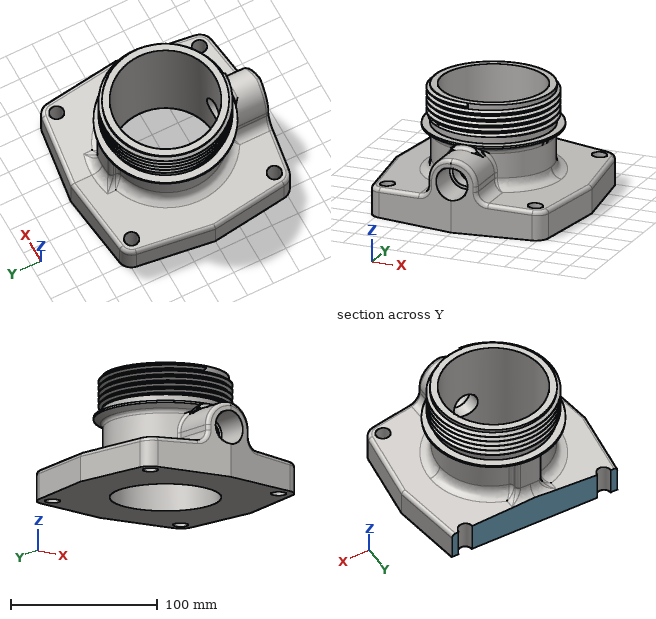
import cadquery as cq
import math

TOLERANCE = 0.1

PLATE_REACH = 73.025
SIDE_LEAN = 7.6
CORNER_RADIUS = 10.0
RIDGE_HEIGHT = 24.5
ROOF_SLOPE = 3.0
RIM_FILLET = 3.0
BOLT_OFFSET = 55.0
BOLT_DIAMETER = 10.4
EAVES_HEIGHT = RIDGE_HEIGHT - PLATE_REACH * math.tan(math.radians(ROOF_SLOPE))
CORNER_OFFSET = PLATE_REACH / (1 + math.tan(math.radians(SIDE_LEAN)))

TOTAL_HEIGHT = 84.12
BORE_RADIUS = 38.1
BODY_RADIUS = 42.9
FOOT_FILLET = 7.9
FOOT_REACH = 60.0

COLLAR_RADIUS = 49.2
COLLAR_TOP = 55.9
COLLAR_RIM = 1.4
COLLAR_SLOPE = 30.0
COLLAR_FILLET = 3.5

ROOT_RADIUS = 43.4
CREST_RADIUS = 45.9
THREAD_PITCH = 25.4 / 6
THREAD_TURNS = 5
THREAD_BOTTOM = 61.5
THREAD_START = 61.2
THREAD_BASE_WIDTH = 3.6
THREAD_CREST_WIDTH = 0.5
THREAD_EMBED = 0.4

PORT_HEIGHT = 35.0
PORT_RADIUS = 18.0
PORT_BORE_RADIUS = 9.5
COUNTERBORE_RADIUS = 11.7
COUNTERBORE_DEPTH = 25.0
JUNCTION_FILLET = 2.5

COVE_RADIUS = COLLAR_TOP - PORT_HEIGHT - PORT_RADIUS
COVE_FRONT_HALF_WIDTH = 6.4
COVE_BACK_HALF_WIDTH = 12.6
COVE_BACK = 47.0
COVE_SIDE_FOOT = PORT_HEIGHT + math.sqrt(PORT_RADIUS**2 - COVE_BACK_HALF_WIDTH**2)
COVE_ROOT = 43.5

PAD_RADIUS = 49.0
PAD_HALF_WIDTH = 10.0
PAD_FILLET = 3.0


def edges_where(solid, condition):
    return solid.newObject([edge for edge in solid.edges().vals() if condition(edge)])


def axis_distances(edge):
    """Distances from the Z axis of points spread along an edge."""
    points = [edge.positionAt(fraction) for fraction in (0, 0.25, 0.5, 0.75, 1)]
    return [math.hypot(point.x, point.y) for point in points]


def on_plate_top(edge):
    box = edge.BoundingBox()
    return box.zmin > EAVES_HEIGHT - TOLERANCE and box.zmax < RIDGE_HEIGHT + TOLERANCE


def runs_along_y(edge):
    box = edge.BoundingBox()
    return box.xlen < TOLERANCE and box.ylen > PORT_RADIUS


def upright_cylinder(radius, height):
    return cq.Workplane("XY").circle(radius).extrude(height)


def half_space_block(length, width):
    """Block of full height that starts at X = 0 and is centred on Y = 0."""
    return cq.Workplane("XY").box(length, width, TOTAL_HEIGHT, centered=(False, True, False))


def plate_outline():
    quarter = [(PLATE_REACH, 0), (CORNER_OFFSET, CORNER_OFFSET)]
    points = []
    for turn in range(4):
        for x, y in quarter:
            points.append((x, y))
        quarter = [(-y, x) for x, y in quarter]
    block = cq.Workplane("XY").polyline(points).close().extrude(TOTAL_HEIGHT)

    def at_corner(edge):
        middle = edge.Center()
        beside_x = abs(abs(middle.x) - CORNER_OFFSET) < TOLERANCE
        beside_y = abs(abs(middle.y) - CORNER_OFFSET) < TOLERANCE
        return beside_x and beside_y

    return edges_where(block.edges("|Z"), at_corner).fillet(CORNER_RADIUS)


def roof_prism():
    return (
        cq.Workplane("XZ", origin=(0, PLATE_REACH, 0))
        .moveTo(-PLATE_REACH, 0)
        .lineTo(PLATE_REACH, 0)
        .lineTo(PLATE_REACH, EAVES_HEIGHT)
        .lineTo(0, RIDGE_HEIGHT)
        .lineTo(-PLATE_REACH, EAVES_HEIGHT)
        .close()
        .extrude(2 * PLATE_REACH)
    )


def port_prism():
    return (
        cq.Workplane("XZ")
        .moveTo(-PORT_RADIUS, 0)
        .lineTo(PORT_RADIUS, 0)
        .lineTo(PORT_RADIUS, PORT_HEIGHT)
        .threePointArc((0, PORT_HEIGHT + PORT_RADIUS), (-PORT_RADIUS, PORT_HEIGHT))
        .close()
        .extrude(PLATE_REACH)
    )


def plate_with_port():
    """Plate and port boss, blended together and rounded along the outer top edge."""
    shape = plate_outline().intersect(roof_prism().union(port_prism()))

    def at_boss_foot(edge):
        beside_boss = abs(abs(edge.Center().x) - PORT_RADIUS) < TOLERANCE
        return on_plate_top(edge) and runs_along_y(edge) and beside_boss

    def on_rim(edge):
        above_walls = edge.BoundingBox().zmin > EAVES_HEIGHT - TOLERANCE
        on_outline = min(axis_distances(edge)) > CORNER_OFFSET
        return above_walls and on_outline and not runs_along_y(edge)

    shape = edges_where(shape, at_boss_foot).fillet(FOOT_FILLET)
    return edges_where(shape, on_rim).fillet(RIM_FILLET)


def plain_plate():
    return plate_outline().intersect(roof_prism())


def body_with_foot():
    """Round body with its foot blended into the plate top."""
    shape = plain_plate().union(upright_cylinder(BODY_RADIUS, COLLAR_TOP))

    def at_foot(edge):
        return on_plate_top(edge) and max(axis_distances(edge)) < BODY_RADIUS + TOLERANCE

    shape = edges_where(shape, at_foot).fillet(FOOT_FILLET)
    return shape.intersect(upright_cylinder(FOOT_REACH, COLLAR_TOP))


def pad_with_foot():
    """Pad with a blended foot, made as one half and mirrored across the ridge."""
    strip = cq.Workplane("XY").rect(2 * PAD_HALF_WIDTH, 4 * PLATE_REACH).extrude(COLLAR_TOP)
    end = strip.intersect(upright_cylinder(PAD_RADIUS, COLLAR_TOP))
    tail = strip.translate((0, -2 * PLATE_REACH, 0))
    pad = end.union(tail).clean()
    half = plain_plate().union(pad).intersect(half_space_block(PLATE_REACH, 4 * PLATE_REACH))

    def at_foot(edge):
        middle = edge.Center()
        beside_pad = TOLERANCE < middle.x < PAD_HALF_WIDTH + TOLERANCE
        inside_plate = -PLATE_REACH / 2 < middle.y < PAD_RADIUS
        return on_plate_top(edge) and beside_pad and inside_plate

    def at_outer_corner(edge):
        box = edge.BoundingBox()
        at_side = abs(box.xmin - PAD_HALF_WIDTH) < TOLERANCE
        at_end = min(axis_distances(edge)) > PAD_RADIUS - TOLERANCE
        return at_side and at_end and box.zlen > TOLERANCE and box.ymin > 0

    half = edges_where(half, at_foot).fillet(FOOT_FILLET)
    half = edges_where(half, at_outer_corner).fillet(PAD_FILLET)
    kept = half_space_block(2 * PAD_HALF_WIDTH, 2 * FOOT_REACH)
    kept = kept.intersect(kept.translate((0, FOOT_REACH, 0)))
    half = half.intersect(kept)
    return half.union(half.mirror("YZ"))


def blend_boss_to_body(shape):
    def on_junction(edge):
        box = edge.BoundingBox()
        behind_port = -BODY_RADIUS - FOOT_FILLET < box.ymin and box.ymax < -BODY_RADIUS + PORT_RADIUS / 4
        distances = axis_distances(edge)
        near_body = max(distances) < BODY_RADIUS + FOOT_FILLET
        above_plate = box.zmin > EAVES_HEIGHT + TOLERANCE
        beside_boss = abs(edge.Center().x) < PORT_RADIUS + FOOT_FILLET
        return behind_port and near_body and above_plate and beside_boss

    return edges_where(shape, on_junction).fillet(JUNCTION_FILLET)


def blend_pad_to_body(shape):
    body_crossing = math.sqrt(BODY_RADIUS**2 - PAD_HALF_WIDTH**2)

    def on_junction(edge):
        box = edge.BoundingBox()
        starts_at_body = abs(box.ymin - body_crossing) < TOLERANCE
        rises = box.zlen > TOLERANCE
        return starts_at_body and rises

    return edges_where(shape, on_junction).fillet(PAD_FILLET)


def collar():
    lean = math.radians(COLLAR_SLOPE)
    rim_bottom = COLLAR_TOP - COLLAR_RIM
    cone_foot = rim_bottom - (COLLAR_RADIUS - BODY_RADIUS) * math.tan(lean)
    tangent = COLLAR_FILLET * math.tan((math.pi / 2 - lean) / 2)
    arc_x = BODY_RADIUS + COLLAR_FILLET
    arc_z = cone_foot - tangent
    middle_angle = (math.pi + math.pi / 2 + lean) / 2
    arc_middle = (
        arc_x + COLLAR_FILLET * math.cos(middle_angle),
        arc_z + COLLAR_FILLET * math.sin(middle_angle),
    )
    arc_end = (BODY_RADIUS + tangent * math.cos(lean), cone_foot + tangent * math.sin(lean))
    return (
        cq.Workplane("XZ")
        .moveTo(0, arc_z)
        .lineTo(BODY_RADIUS, arc_z)
        .threePointArc(arc_middle, arc_end)
        .lineTo(COLLAR_RADIUS, rim_bottom)
        .lineTo(COLLAR_RADIUS, COLLAR_TOP)
        .lineTo(0, COLLAR_TOP)
        .close()
        .revolve(360, (0, 0, 0), (0, 1, 0))
    )


def collar_cove():
    """Concave blend from the top of the boss up to the collar, narrowing toward the port."""
    front = COLLAR_RADIUS + COVE_RADIUS
    boss_top = PORT_HEIGHT + PORT_RADIUS
    arc_offset = COVE_RADIUS * math.sqrt(0.5)
    ring = (
        cq.Workplane("YZ")
        .moveTo(-COVE_ROOT, PORT_HEIGHT + PORT_BORE_RADIUS)
        .lineTo(-front, PORT_HEIGHT + PORT_BORE_RADIUS)
        .lineTo(-front, boss_top)
        .threePointArc((-front + arc_offset, COLLAR_TOP - arc_offset), (-COLLAR_RADIUS, COLLAR_TOP))
        .lineTo(-COVE_ROOT, COLLAR_TOP)
        .close()
        .revolve(360, (0, PORT_HEIGHT, 0), (1, PORT_HEIGHT, 0))
    )
    wedge = (
        cq.Workplane("XY", origin=(0, 0, PORT_HEIGHT))
        .moveTo(-COVE_FRONT_HALF_WIDTH, -front)
        .lineTo(COVE_FRONT_HALF_WIDTH, -front)
        .lineTo(COVE_BACK_HALF_WIDTH, -COVE_BACK)
        .lineTo(COVE_BACK_HALF_WIDTH, -COVE_ROOT)
        .lineTo(-COVE_BACK_HALF_WIDTH, -COVE_ROOT)
        .lineTo(-COVE_BACK_HALF_WIDTH, -COVE_BACK)
        .close()
        .extrude(COLLAR_TOP - PORT_HEIGHT)
    )
    sloped_sides = (
        cq.Workplane("XZ")
        .moveTo(-COVE_BACK_HALF_WIDTH, PORT_HEIGHT)
        .lineTo(COVE_BACK_HALF_WIDTH, PORT_HEIGHT)
        .lineTo(COVE_BACK_HALF_WIDTH, COVE_SIDE_FOOT)
        .lineTo(COVE_FRONT_HALF_WIDTH, COLLAR_TOP)
        .lineTo(-COVE_FRONT_HALF_WIDTH, COLLAR_TOP)
        .lineTo(-COVE_BACK_HALF_WIDTH, COVE_SIDE_FOOT)
        .close()
        .extrude(PLATE_REACH)
    )
    return ring.intersect(wedge).intersect(sloped_sides)


def helical_ridge(turns, start_height, start_angle):
    """Right-hand thread ridge; the angle is counted from +X about Z."""
    inner = ROOT_RADIUS - THREAD_EMBED
    half_base = THREAD_BASE_WIDTH / 2
    half_crest = THREAD_CREST_WIDTH / 2
    helix = cq.Wire.makeHelix(THREAD_PITCH, turns * THREAD_PITCH, ROOT_RADIUS)
    return (
        cq.Workplane("XZ")
        .moveTo(inner, -half_base)
        .lineTo(ROOT_RADIUS, -half_base)
        .lineTo(CREST_RADIUS, -half_crest)
        .lineTo(CREST_RADIUS, half_crest)
        .lineTo(ROOT_RADIUS, half_base)
        .lineTo(inner, half_base)
        .close()
        .sweep(cq.Workplane(helix), isFrenet=True)
        .rotate((0, 0, 0), (0, 0, 1), start_angle)
        .translate((0, 0, start_height))
    )


def thread():
    """Main turns from -Y to -Y plus a lead-in half turn, trimmed flat at both ends."""
    trim = upright_cylinder(COLLAR_RADIUS, TOTAL_HEIGHT - THREAD_BOTTOM).translate((0, 0, THREAD_BOTTOM))
    main_turns = helical_ridge(THREAD_TURNS, THREAD_START, -90).intersect(trim)
    lead_in = helical_ridge(0.5, THREAD_START - THREAD_PITCH / 2, 90).intersect(trim)
    return main_turns.union(lead_in)


def port_holes():
    def hole(radius, depth):
        return (
            cq.Workplane("XZ", origin=(0, -PLATE_REACH, PORT_HEIGHT))
            .circle(radius)
            .extrude(-depth)
        )

    return hole(PORT_BORE_RADIUS, PLATE_REACH).union(hole(COUNTERBORE_RADIUS, COUNTERBORE_DEPTH))


def bolt_holes():
    return (
        cq.Workplane("XY")
        .rect(2 * BOLT_OFFSET, 2 * BOLT_OFFSET, forConstruction=True)
        .vertices()
        .circle(BOLT_DIAMETER / 2)
        .extrude(RIDGE_HEIGHT)
    )


casting = blend_boss_to_body(plate_with_port().union(body_with_foot()))
casting = blend_pad_to_body(casting.union(pad_with_foot()))
casting = casting.union(collar()).union(collar_cove())
neck = upright_cylinder(ROOT_RADIUS, TOTAL_HEIGHT - COLLAR_TOP).translate((0, 0, COLLAR_TOP))
casting = casting.union(neck.union(thread()))
bore = upright_cylinder(BORE_RADIUS, TOTAL_HEIGHT)
result = casting.cut(bore).cut(port_holes()).cut(bolt_holes())